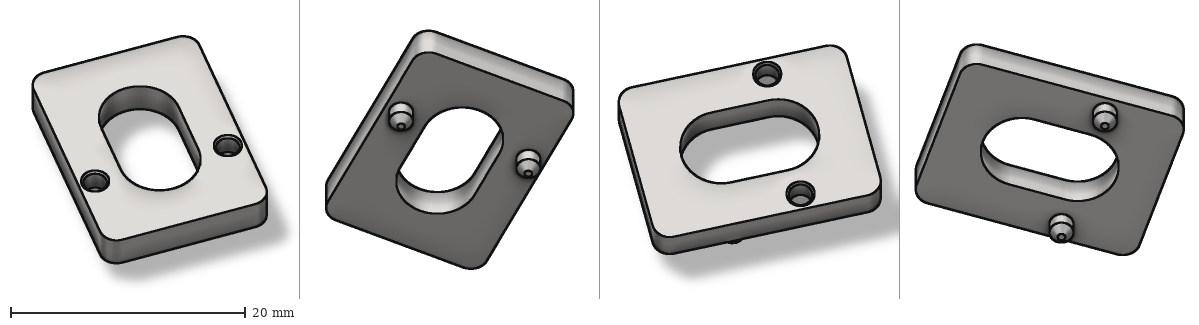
import cadquery as cq

plate_length = 20.0
plate_width = 15.0
plate_thickness = 3.0
corner_radius = 1.5

slot_length = 12.0
slot_width = 7.0

locator_offset_x = 3.0
locator_offset_y = 6.0

pin_diameter = 2.05
pin_length = 2.0
pin_tip_chamfer = 0.7

socket_diameter = 2.0
socket_mouth_diameter = 2.4
socket_depth = 2.0


def make_plate():
    """Rounded plate with its bottom face on Z = 0 and a slot through it."""
    return (
        cq.Workplane("XY")
        .rect(plate_length, plate_width)
        .extrude(plate_thickness)
        .edges("|Z")
        .fillet(corner_radius)
        .faces(">Z")
        .workplane()
        .slot2D(slot_length, slot_width)
        .cutThruAll()
    )


def make_pin(x, y):
    """Round pin with a 45 degree tapered tip, hanging from the plate's bottom face."""
    return (
        cq.Workplane("XY")
        .center(x, y)
        .circle(pin_diameter / 2)
        .extrude(-pin_length)
        .faces("<Z")
        .chamfer(pin_tip_chamfer)
    )


def make_socket(x, y):
    """Blind round hole with a 45 degree chamfered mouth in the top face."""
    socket_radius = socket_diameter / 2
    mouth_radius = socket_mouth_diameter / 2
    chamfer = mouth_radius - socket_radius
    profile = (
        cq.Workplane("XZ")
        .moveTo(0, 0)
        .lineTo(mouth_radius, 0)
        .lineTo(socket_radius, -chamfer)
        .lineTo(socket_radius, -socket_depth)
        .lineTo(0, -socket_depth)
        .close()
    )
    return profile.revolve(360, (0, 0), (0, 1)).translate((x, y, plate_thickness))


result = make_plate()
for y in (-locator_offset_y, locator_offset_y):
    result = result.union(make_pin(-locator_offset_x, y))
    result = result.cut(make_socket(locator_offset_x, y))